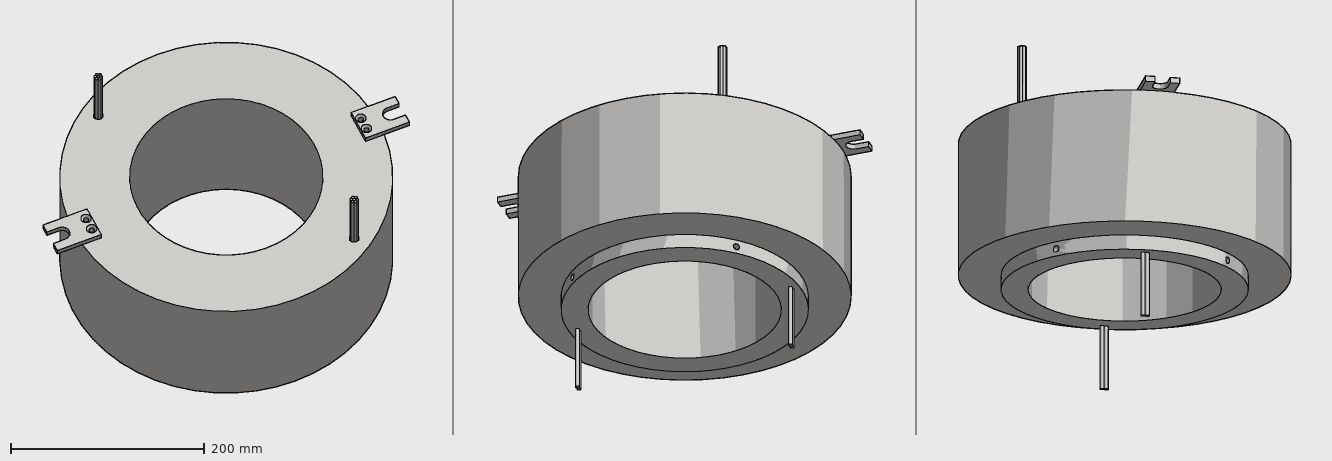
import cadquery as cq
import math

OVERALL_LENGTH = 400.0
BODY_DIAMETER = 345.0
BODY_HEIGHT = 143.5
BORE_DIAMETER = 200.0
COLLAR_DIAMETER = 256.0
COLLAR_HEIGHT = 15.5
BODY_BOTTOM_Z = -BODY_HEIGHT
COLLAR_BOTTOM_Z = BODY_BOTTOM_Z - COLLAR_HEIGHT

TAB_WIDTH = 36.0
TAB_LENGTH = 50.0
TAB_THICKNESS = 6.0
TAB_SLOT_WIDTH = 16.0
TAB_SLOT_DEPTH = 21.5
TAB_SCREW_SPACING = 14.5
TAB_SCREW_INSET = 6.0
SCREW_HOLE_DIAMETER = 5.5
SCREW_HOLE_DEPTH = 16.0
COUNTERSINK_DIAMETER = 11.0
COUNTERSINK_ANGLE = 90.0

RADIAL_HOLE_DIAMETER = 7.0
RADIAL_HOLE_DEPTH = 8.0
RADIAL_HOLE_ANGLES = (45, 135, 225, 315)

DRILL_POINT_ANGLE = 118.0

WIRE_DIAMETER = 4.5
WIRE_GAP = 0.1
WIRE_PITCH = WIRE_DIAMETER + WIRE_GAP
TOP_LEAD_LENGTH = 68.0
BOTTOM_LEAD_LENGTH = 69.0
STRAND_DIAMETER = 3.0
STRAND_PITCH = STRAND_DIAMETER + WIRE_GAP
OUTER_STRANDS = 6
WIRE_EMBEDMENT = 4.0
TOP_BUNDLE_RADIUS = 154.0
TOP_BUNDLE_ANGLES = (35, 215)
LEAD_HOLE_DIAMETER = 10.0
LEAD_HOLE_DEPTH = 4.0
BOTTOM_PAIR_RADIUS = 118.5
WIRES_PER_PAIR = 2


def cylinder(diameter, height, base_z, x=0.0, y=0.0):
    """Upright cylinder standing on base_z."""
    return cq.Workplane("XY", origin=(x, y, base_z)).circle(diameter / 2).extrude(height)


def make_blind_hole(diameter, depth):
    """Cutter going down from the origin, its full-width part going to depth, then a drill point."""
    radius = diameter / 2
    point_depth = radius / math.tan(math.radians(DRILL_POINT_ANGLE / 2))
    profile = [(0, depth), (radius, depth), (radius, -depth), (0, -depth - point_depth)]
    return cq.Workplane("XZ").polyline(profile).close().revolve(360, (0, 0), (0, 1))


def make_ring():
    """Wide body above a narrower collar, with a bore through both."""
    body = cylinder(BODY_DIAMETER, BODY_HEIGHT, BODY_BOTTOM_Z)
    collar = cylinder(COLLAR_DIAMETER, COLLAR_HEIGHT, COLLAR_BOTTOM_Z)
    bore = cylinder(BORE_DIAMETER, BODY_HEIGHT + COLLAR_HEIGHT, COLLAR_BOTTOM_Z)
    return body.union(collar).cut(bore)


def make_tab():
    """Slotted tab at the +Y end."""
    outer_y = OVERALL_LENGTH / 2
    inner_y = outer_y - TAB_LENGTH
    slot_radius = TAB_SLOT_WIDTH / 2
    slot_arc_y = outer_y - TAB_SLOT_DEPTH + slot_radius
    return (
        cq.Workplane("XY")
        .moveTo(-TAB_WIDTH / 2, inner_y)
        .lineTo(TAB_WIDTH / 2, inner_y)
        .lineTo(TAB_WIDTH / 2, outer_y)
        .lineTo(slot_radius, outer_y)
        .lineTo(slot_radius, slot_arc_y)
        .threePointArc((0, outer_y - TAB_SLOT_DEPTH), (-slot_radius, slot_arc_y))
        .lineTo(-slot_radius, outer_y)
        .lineTo(-TAB_WIDTH / 2, outer_y)
        .close()
        .extrude(TAB_THICKNESS)
    )


def make_tab_screw_holes():
    """Cutter for the two countersunk screw holes at the inner edge of the +Y tab."""
    screw_y = OVERALL_LENGTH / 2 - TAB_LENGTH + TAB_SCREW_INSET
    head_radius = COUNTERSINK_DIAMETER / 2
    head_height = head_radius / math.tan(math.radians(COUNTERSINK_ANGLE / 2))
    head = cq.Workplane("XZ").polyline([(0, 0), (head_radius, 0), (0, -head_height)])
    head = head.close().revolve(360, (0, 0), (0, 1))
    hole = make_blind_hole(SCREW_HOLE_DIAMETER, SCREW_HOLE_DEPTH).union(head)
    offset = TAB_SCREW_SPACING / 2
    left_hole = hole.translate((-offset, screw_y, TAB_THICKNESS))
    right_hole = hole.translate((offset, screw_y, TAB_THICKNESS))
    return left_hole.union(right_hole)


def make_radial_hole(angle):
    """Cutter for a blind hole running inward from the collar's outer wall."""
    center_z = COLLAR_BOTTOM_Z + COLLAR_HEIGHT / 2
    hole = make_blind_hole(RADIAL_HOLE_DIAMETER, RADIAL_HOLE_DEPTH)
    hole = hole.rotate((0, 0, 0), (0, 1, 0), 90)
    hole = hole.translate((COLLAR_DIAMETER / 2, 0, center_z))
    return hole.rotate((0, 0, 0), (0, 0, 1), angle)


def add_top_bundle(part, angle):
    """Strand bundle rising from a shallow hole in the top of the body."""
    center_x = TOP_BUNDLE_RADIUS * math.cos(math.radians(angle))
    center_y = TOP_BUNDLE_RADIUS * math.sin(math.radians(angle))
    part = part.cut(cylinder(LEAD_HOLE_DIAMETER, LEAD_HOLE_DEPTH, -LEAD_HOLE_DEPTH, center_x, center_y))
    strand_points = [(center_x, center_y)]
    for index in range(OUTER_STRANDS):
        direction = math.radians(index * 360 / OUTER_STRANDS)
        strand_x = center_x + STRAND_PITCH * math.cos(direction)
        strand_y = center_y + STRAND_PITCH * math.sin(direction)
        strand_points.append((strand_x, strand_y))
    base_z = -LEAD_HOLE_DEPTH - WIRE_EMBEDMENT
    for x, y in strand_points:
        part = part.union(cylinder(STRAND_DIAMETER, TOP_LEAD_LENGTH - base_z, base_z, x, y))
    return part


def add_bottom_pair(part, side):
    """Two wires hanging from the collar, side by side along X and reaching from x = 0 outward."""
    for index in range(WIRES_PER_PAIR):
        wire = cylinder(
            WIRE_DIAMETER,
            BOTTOM_LEAD_LENGTH + WIRE_EMBEDMENT,
            COLLAR_BOTTOM_Z - BOTTOM_LEAD_LENGTH,
            side * index * WIRE_PITCH,
            side * BOTTOM_PAIR_RADIUS,
        )
        part = part.union(wire)
    return part


result = make_ring()
for hole_angle in RADIAL_HOLE_ANGLES:
    result = result.cut(make_radial_hole(hole_angle))

tab = make_tab()
screw_holes = make_tab_screw_holes()
for tab_angle in (0, 180):
    result = result.union(tab.rotate((0, 0, 0), (0, 0, 1), tab_angle))
    result = result.cut(screw_holes.rotate((0, 0, 0), (0, 0, 1), tab_angle))

for bundle_angle in TOP_BUNDLE_ANGLES:
    result = add_top_bundle(result, bundle_angle)
for pair_side in (-1, 1):
    result = add_bottom_pair(result, pair_side)